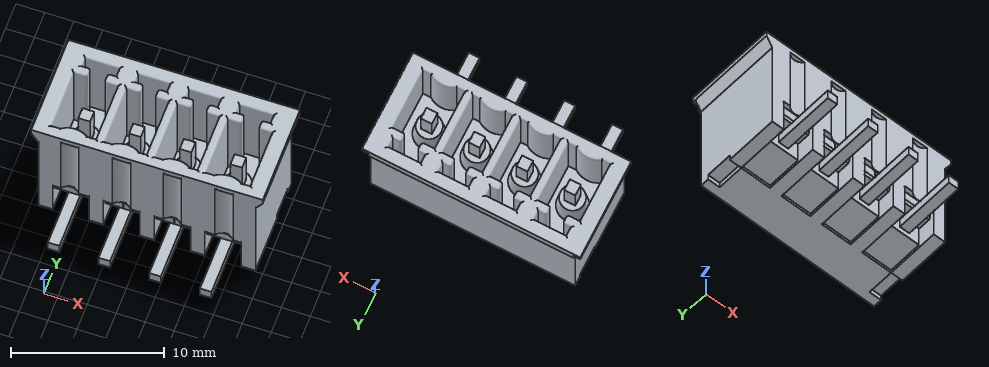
import cadquery as cq
import math

body_width = 15.0
body_depth = 7.02
height = 9.2
flange_width = 16.0
flange_thickness = 0.45
taper_end_drop = 1.3
rear_lip_depth = 0.25
rear_lip_height = 1.0

contact_count = 4
pitch = 3.5
pin_size = 0.81
pin_y = 3.01
pin_tail_z = 1.2
pin_tip_z = 7.9
pin_projection = 3.38

cavity_floor_z = 3.2
main_half_width = 1.45
key_half_width = 1.1
throat_half_width = 0.52
end_cavity_extra = 0.15
cavity_front_y = 0.8
main_rear_y = 5.07
key_front_y = 5.75
key_rear_y = 6.35
rim_radius = 0.2
boss_base_radius = 1.1
boss_top_radius = 0.88
boss_height = 2.0

groove_radius = 0.82
groove_depth = 0.3
groove_top_z = 8.73
groove_wall = 0.8

notch_width = 2.5
notch_height = 3.0
lip_bottom_z = 2.2
lip_face_y = 0.34
lip_chamfer_angle = 30
chamfer_height = 0.2
chamfer_depth = chamfer_height * math.tan(math.radians(lip_chamfer_angle))
notch_depth = 1.45
relief_height = 0.27
slit_width = 0.06
slit_depth = 0.1

slot_front_y = 4.2
slot_rear_y = 6.32
slot_height = 0.46
slot_length = 1.0

flange_depth = body_depth + rear_lip_depth
groove_axis_y = groove_depth - groove_radius
contact_xs = [(i - (contact_count - 1) / 2) * pitch for i in range(contact_count)]


def box(x_min, x_max, y_min, y_max, z_min, z_max):
    block = cq.Workplane("XY").box(x_max - x_min, y_max - y_min, z_max - z_min, centered=False)
    return block.translate((x_min, y_min, z_min))


def rod(x, y, radius, z_min, z_max):
    return cq.Workplane("XY", origin=(x, y, z_min)).circle(radius).extrude(z_max - z_min)


def extrude_along_x(points, x_min, x_max):
    return cq.Workplane("YZ", origin=(x_min, 0, 0)).polyline(points).close().extrude(x_max - x_min)


def housing():
    half_body = body_width / 2
    half_flange = flange_width / 2
    flange_z = height - flange_thickness
    taper_z = height - taper_end_drop
    right_side = [(half_body, 0), (half_body, taper_z), (half_flange, flange_z), (half_flange, height)]
    left_side = [(-x, z) for x, z in reversed(right_side)]
    block = cq.Workplane("XZ").polyline(right_side + left_side).close().extrude(-body_depth)
    rear_flange = box(-half_flange, half_flange, body_depth, flange_depth, flange_z, height)
    rear_lip = box(-half_body, half_body, body_depth, flange_depth, height - rear_lip_height, height)
    return block.union(rear_flange).union(rear_lip)


def outer_extras(x):
    """Added width on the left and right of a cavity; only the end cavities widen, outwards."""
    extra_left = end_cavity_extra if x == contact_xs[0] else 0
    extra_right = end_cavity_extra if x == contact_xs[-1] else 0
    return extra_left, extra_right


def cavity(x, extra_left, extra_right):
    """Main opening joined through a throat to a key slot behind it; every wall is vertical."""
    centre = x + (extra_right - extra_left) / 2

    def span(half_width, y_min, y_max):
        left = x - half_width - extra_left
        right = x + half_width + extra_right
        return box(left, right, y_min, y_max, cavity_floor_z, height)

    throat = span(throat_half_width, main_rear_y, key_front_y)
    main = span(main_half_width, cavity_front_y, main_rear_y)
    key = span(key_half_width, key_front_y, key_rear_y)
    opening = main.union(throat).union(key)
    bulge = rod(centre, groove_axis_y, groove_radius + groove_wall, cavity_floor_z, height)
    return opening.cut(bulge)


def throat_corners(x, extra_left, extra_right):
    """Selector for the four vertical tab corners at the throat of a cavity."""
    reach = rim_radius / 4
    left = x - throat_half_width - extra_left
    right = x + throat_half_width + extra_right
    return cq.selectors.BoxSelector(
        (left - reach, main_rear_y - reach, cavity_floor_z),
        (right + reach, key_front_y + reach, height),
    )


def add_cavity(part, x):
    extra_left, extra_right = outer_extras(x)
    opening = cavity(x, extra_left, extra_right)
    opening = opening.edges("|Z").edges(throat_corners(x, extra_left, extra_right)).fillet(rim_radius)
    part = part.cut(opening)
    rim = cq.selectors.BoxSelector(
        (x - pitch / 2, cavity_front_y / 2, height - rim_radius / 2),
        (x + pitch / 2, flange_depth - rim_radius, height + rim_radius / 2),
    )
    part = part.edges(rim).fillet(rim_radius)
    return part.union(boss(x))


def boss(x):
    """Tapered collar around a pin on the cavity floor."""
    base = cq.Workplane("XY", origin=(x, pin_y, cavity_floor_z)).circle(boss_base_radius)
    return base.workplane(offset=boss_height).circle(boss_top_radius).loft()


def front_cut(x):
    """Round groove above a stepped notch that opens at the front and underside."""
    extra_left, extra_right = outer_extras(x)
    centre = x + (extra_right - extra_left) / 2
    groove = rod(centre, groove_axis_y, groove_radius, lip_bottom_z, groove_top_z)
    ceiling_z = lip_bottom_z - chamfer_height
    profile = [
        (0, 0),
        (0, notch_height),
        (lip_face_y, notch_height),
        (lip_face_y, lip_bottom_z),
        (lip_face_y + chamfer_depth, ceiling_z),
        (notch_depth, ceiling_z),
        (notch_depth, relief_height),
        (slot_front_y, relief_height),
        (slot_front_y, 0),
    ]
    notch = extrude_along_x(profile, x - notch_width / 2, x + notch_width / 2)
    return groove.union(notch)


def lip_slit(x):
    """Narrow slit in the upper face of an inner notch."""
    half = slit_width / 2
    return box(x - half, x + half, lip_face_y, lip_face_y + slit_depth, lip_bottom_z, notch_height)


def pin(x):
    half = pin_size / 2
    left, right = x - half, x + half
    bottom, top = pin_tail_z - half, pin_tail_z + half
    tail = box(left, right, -pin_projection, pin_y + half, bottom, top)
    post = box(left, right, pin_y - half, pin_y + half, bottom, pin_tip_z)
    return tail.union(post)


def standoff_slot(side):
    outer = side * body_width / 2
    inner = outer - side * slot_length
    return box(min(outer, inner), max(outer, inner), slot_front_y, slot_rear_y, 0, slot_height)


result = housing()
for contact_x in contact_xs:
    result = add_cavity(result, contact_x)
    result = result.cut(front_cut(contact_x))
for contact_x in contact_xs[1:-1]:
    result = result.cut(lip_slit(contact_x))
for slot_side in (-1, 1):
    result = result.cut(standoff_slot(slot_side))
for contact_x in contact_xs:
    result = result.union(pin(contact_x))